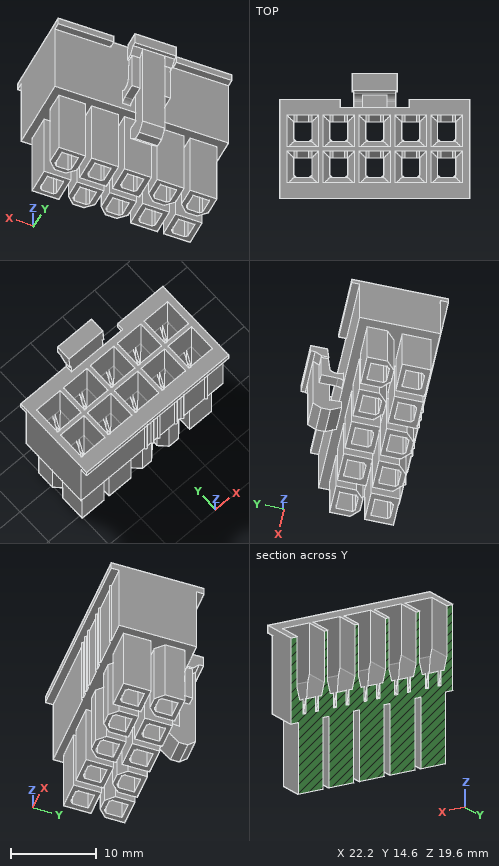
import cadquery as cq
import math

width = 22.2
height = 19.6

columns = 5
rows = 2
pitch = 4.2

flange_depth = 11.57
flange_thickness = 0.98
notch_width = 8.0

body_front = 0.98
body_back = 10.63
body_bottom = 8.88

leg_side = 3.45
leg_chamfer = 1.0
first_leg_y = 1.89
chamfered_legs = {(2, 0), (3, 0), (0, 1), (1, 1), (4, 1)}

cavity_side = 3.66
bore_width = 2.09
bore_length = 2.26
bore_chamfer = 0.29
funnel_angle = 77.0
funnel_front = 0.58
floor_thickness = 0.98
relief_width = 0.35

ridge_radius = 0.2
ridge_centers = [-1.0, 0.0, 1.0, 3.69, 4.7, 8.41]

latch_head_width = 5.3
latch_neck_width = 4.9
lever_width = 2.85
latch_back = 14.6
latch_top = 17.67
lip_bottom = 16.15
head_bottom = 15.3
head_front = 12.59
lever_back = 14.07
lever_front = 12.08
lever_bottom = 2.86
lever_back_chamfer = 0.98
neck_back = 13.32
neck_top = 11.57
neck_bottom = 10.17
neck_corner_y = 12.2
neck_fillet = 0.75
root_length = 0.67
hook_top = 5.77
hook_rise = 0.09
hook_chamfer = 1.35

floor_z = body_bottom + floor_thickness
funnel_side = (cavity_side - bore_width) / 2
funnel_back = cavity_side - bore_length - funnel_front
funnel_run = max(funnel_side, funnel_front, funnel_back)
funnel_depth = funnel_run * math.tan(math.radians(funnel_angle))
root_rise = neck_fillet - math.sqrt(neck_fillet**2 - root_length**2)


def box(x0, x1, y0, y1, z0, z1):
    """Box between two opposite corners."""
    return cq.Workplane("XY").box(x1 - x0, y1 - y0, z1 - z0, centered=False).translate((x0, y0, z0))


def column_x(column):
    """Middle of a column of circuits."""
    return (column - (columns - 1) / 2) * pitch


def row_front(row):
    """Common front plane of the legs and cavities of a row."""
    return first_leg_y + row * pitch


def make_housing():
    """Flanged body, open at the back of the flange above the latch."""
    body = box(-width / 2, width / 2, body_front, body_back, body_bottom, height)
    flange_bottom = height - flange_thickness
    flange = box(-width / 2, width / 2, 0, flange_depth, flange_bottom, height)
    notch = box(-notch_width / 2, notch_width / 2, body_back, flange_depth, flange_bottom, height)
    return body.union(flange.cut(notch))


def make_ridges():
    """Half-round polarising ridges down the front of the body."""
    return (
        cq.Workplane("XY")
        .workplane(offset=body_bottom)
        .pushPoints([(x, body_front) for x in ridge_centers])
        .circle(ridge_radius)
        .extrude(height - flange_thickness - body_bottom)
    )


def make_leg(column, row):
    """Leg under one circuit, with its two front corners cut on keyed positions."""
    x = column_x(column)
    y = row_front(row)
    leg = box(x - leg_side / 2, x + leg_side / 2, y, y + leg_side, 0, body_bottom)
    if (column, row) in chamfered_legs:
        leg = leg.faces("<Y").edges("|Z").chamfer(leg_chamfer)
    return leg


def make_cavity(column, row):
    """Square pocket, sloped funnel, corner reliefs and bore of one circuit."""
    x = column_x(column)
    front = row_front(row)
    back = front + cavity_side
    bore_front = front + funnel_front
    bore_back = bore_front + bore_length
    half = bore_width / 2

    pocket = box(x - cavity_side / 2, x + cavity_side / 2, front, back, floor_z, height)
    funnel = (
        cq.Workplane("XY")
        .rect(bore_width, bore_length)
        .workplane(offset=funnel_depth)
        .rect(bore_width + 2 * funnel_run, bore_length + 2 * funnel_run)
        .loft(ruled=True)
        .translate((x, bore_front + bore_length / 2, floor_z))
    )
    upper = box(x - cavity_side / 2, x + cavity_side / 2, front, back, floor_z + funnel_depth, height)
    cavity = upper.union(funnel.intersect(pocket))

    for x0 in (x - half, x + half - relief_width):
        cavity = cavity.union(box(x0, x0 + relief_width, bore_front, back, floor_z, height))

    bore = box(x - half, x + half, bore_front, bore_back, 0, floor_z)
    bore = bore.faces("<Y").edges("|Z").chamfer(bore_chamfer)
    return cavity.union(bore)


def latch_slab(points, slab_width):
    """Y-Z outline extruded symmetrically about X = 0."""
    return cq.Workplane("YZ").polyline(points).close().extrude(slab_width / 2, both=True)


def latch_front(z):
    """Y of the sloped front face of the latch at height z."""
    slope = (neck_corner_y - head_front) / (neck_top - latch_top)
    return head_front + slope * (z - latch_top)


def make_latch():
    """Finger head, two-armed neck and hooked lever behind the body."""
    head = latch_slab(
        [
            (latch_back, latch_top),
            (head_front, latch_top),
            (latch_front(head_bottom), head_bottom),
            (neck_back, head_bottom),
            (lever_back, lip_bottom),
            (latch_back, lip_bottom),
        ],
        latch_head_width,
    )
    neck = (
        cq.Workplane("YZ")
        .moveTo(neck_back, head_bottom)
        .lineTo(latch_front(head_bottom), head_bottom)
        .lineTo(neck_corner_y, neck_top)
        .lineTo(body_back + root_length, neck_top)
        .radiusArc((body_back, neck_top + root_rise), neck_fillet)
        .lineTo(body_back, neck_bottom - root_rise)
        .radiusArc((body_back + root_length, neck_bottom), neck_fillet)
        .lineTo(neck_back, neck_bottom)
        .close()
        .extrude(latch_neck_width / 2, both=True)
    )
    inner_corner = cq.selectors.NearestToPointSelector((0, neck_corner_y, neck_top))
    neck = neck.edges("|X").edges(inner_corner).fillet(neck_fillet)
    gap = box(-lever_width / 2, lever_width / 2, body_back, lever_front, 0, head_bottom)
    lever = latch_slab(
        [
            (lever_back, lip_bottom),
            (neck_back, lip_bottom),
            (neck_back, neck_bottom),
            (lever_front, neck_bottom),
            (lever_front, hook_top),
            (body_back, hook_top + hook_rise),
            (body_back, lever_bottom + hook_chamfer),
            (body_back + hook_chamfer, lever_bottom),
            (lever_back - lever_back_chamfer, lever_bottom),
            (lever_back, lever_bottom + lever_back_chamfer),
        ],
        lever_width,
    )
    return head.union(neck.cut(gap)).union(lever)


result = make_housing().union(make_ridges()).union(make_latch())
positions = [(column, row) for column in range(columns) for row in range(rows)]
for position in positions:
    result = result.union(make_leg(*position))
for position in positions:
    result = result.cut(make_cavity(*position))